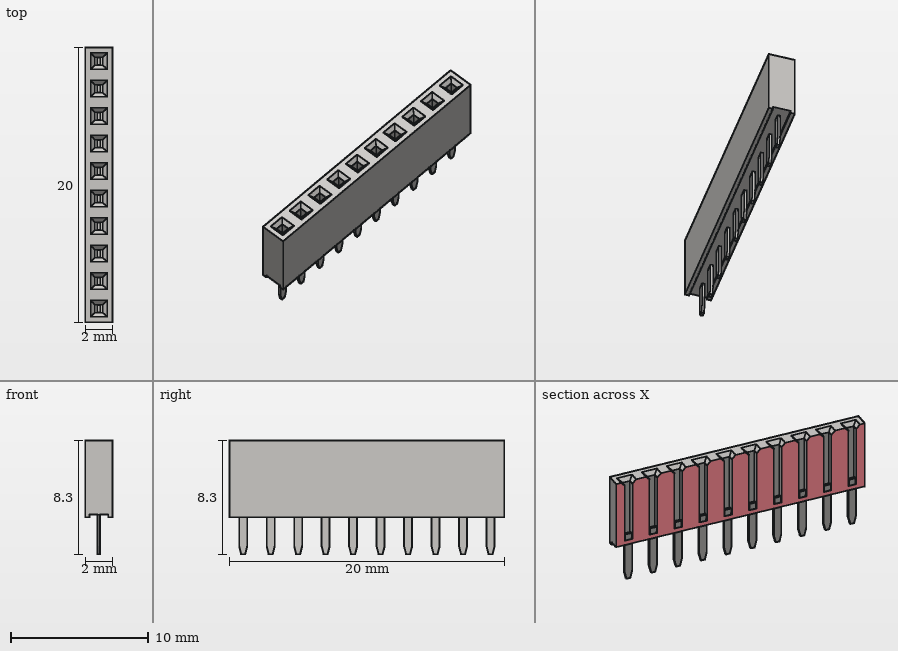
import cadquery as cq


contact_count = 10
pitch = 2.0

housing_width = 2.0
housing_length = contact_count * pitch
housing_height = 5.6

foot_width = 0.33
channel_width = housing_width - 2 * foot_width
channel_depth = 0.2

socket_mouth = 1.2
socket_size = 0.6
lead_in_depth = (socket_mouth - socket_size) / 2
socket_depth = 5.0
socket_floor = housing_height - socket_depth

pin_thickness = 0.2
pin_width = 0.6
pin_tip_width = 0.3
pin_tip_length = 0.6
pin_drop = 2.7

head_width = 0.5
head_height = 0.5

row_start = -(contact_count - 1) / 2 * pitch
contact_positions = [row_start + i * pitch for i in range(contact_count)]


def make_block(width, length, height, y=0, base=0):
    """Block centred on X = 0 and the given Y, rising from the given base height."""
    return cq.Workplane("XY", origin=(0, y, base)).box(
        width, length, height, centered=(True, True, False)
    )


def make_housing():
    """Rectangular block with the standoff channel cut through its full length."""
    body = make_block(housing_width, housing_length, housing_height)
    channel = make_block(channel_width, housing_length, channel_depth)
    return body.cut(channel)


def make_socket(y):
    """Cavity of one socket: tapered lead-in above a straight square hole."""
    lead_in = (
        cq.Workplane("XY", origin=(0, y, housing_height))
        .rect(socket_mouth, socket_mouth)
        .workplane(offset=-lead_in_depth)
        .rect(socket_size, socket_size)
        .loft(ruled=True)
    )
    hole = make_block(socket_size, socket_size, socket_depth - lead_in_depth, y, socket_floor)
    return lead_in.union(hole)


def make_pin(y):
    """Flat contact pin with a tapered lower tip and a narrower head in the socket."""
    half_width = pin_width / 2
    half_tip = pin_tip_width / 2
    taper_start = pin_tip_length - pin_drop
    outline = [
        (-half_width, socket_floor),
        (half_width, socket_floor),
        (half_width, taper_start),
        (half_tip, -pin_drop),
        (-half_tip, -pin_drop),
        (-half_width, taper_start),
    ]
    strip = (
        cq.Workplane("YZ", origin=(0, y, 0))
        .polyline(outline)
        .close()
        .extrude(pin_thickness / 2, both=True)
    )
    head = make_block(pin_thickness, head_width, head_height, y, socket_floor)
    return strip.union(head)


result = make_housing()
for contact_y in contact_positions:
    result = result.cut(make_socket(contact_y)).union(make_pin(contact_y))